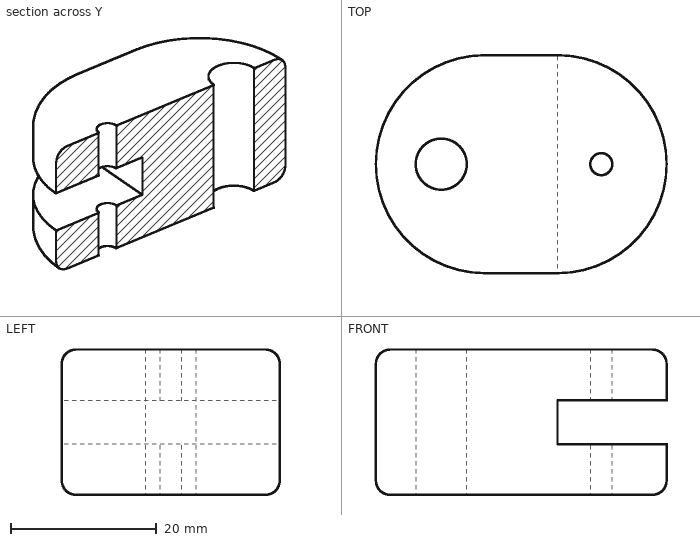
import cadquery as cq

length = 40.0
width = 30.0
height = 20.0
edge_radius = 2.0

slot_height = 6.0
straight_length = length - width
slot_start = straight_length / 2
slot_depth = length / 2 - slot_start

hole_offset = 11.0
large_hole_diameter = 7.0
small_hole_diameter = 3.0


def rounded_body():
    body = cq.Workplane("XY").slot2D(length, width).extrude(height / 2, both=True)
    return body.faces("|Z").edges().fillet(edge_radius)


def end_slot():
    slot = cq.Workplane("XY").box(slot_depth, width, slot_height, centered=(False, True, True))
    return slot.translate((slot_start, 0, 0))


def through_hole(x, diameter):
    return cq.Workplane("XY").center(x, 0).circle(diameter / 2).extrude(height, both=True)


result = (
    rounded_body()
    .cut(end_slot())
    .cut(through_hole(-hole_offset, large_hole_diameter))
    .cut(through_hole(hole_offset, small_hole_diameter))
)